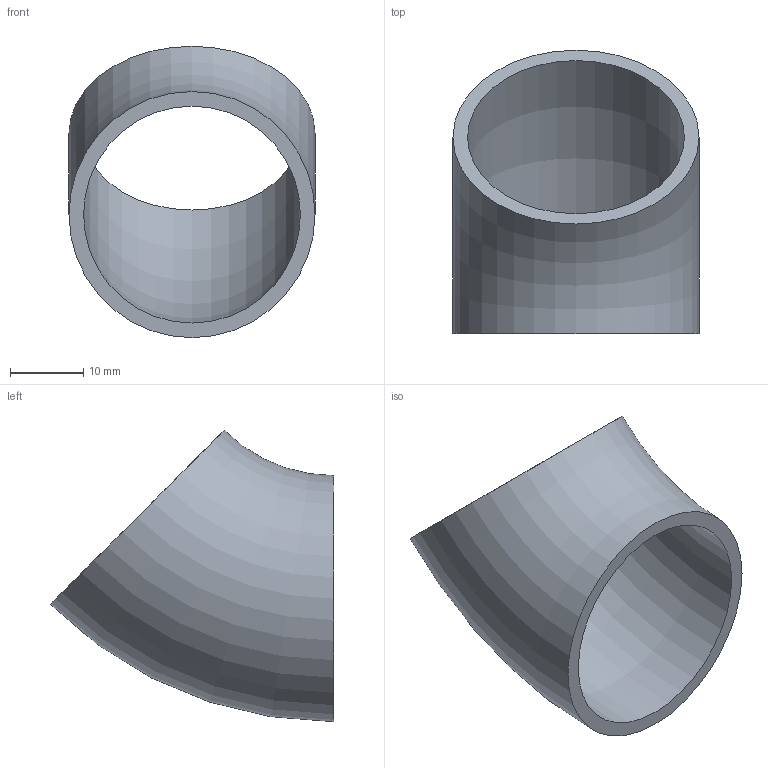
import cadquery as cq

outer_diameter = 33.7
wall_thickness = 2.0
bend_radius = 38.0
bend_angle = 45.0

inner_diameter = outer_diameter - 2 * wall_thickness


def pipe_elbow():
    """Ring in the XZ plane, swept from Y = 0 toward +Y and +Z about an axis parallel to X."""
    ring = cq.Workplane("XZ").circle(outer_diameter / 2).circle(inner_diameter / 2)
    axis_start = (0, bend_radius)
    axis_end = (1, bend_radius)
    return ring.revolve(bend_angle, axis_start, axis_end)


result = pipe_elbow()